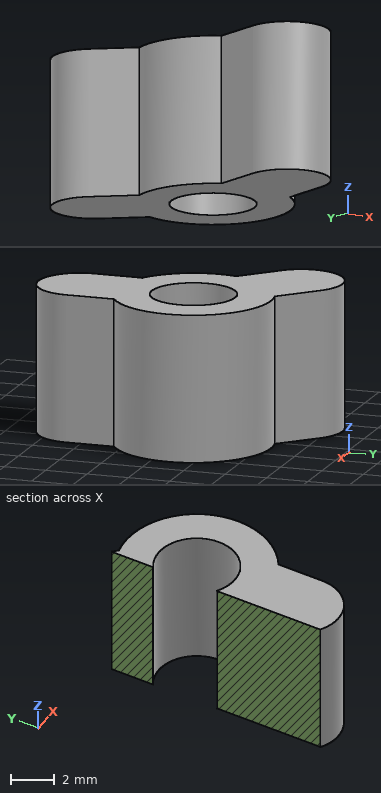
import cadquery as cq
import math

overall_length = 13.38
height = 7.0
hub_diameter = 7.49
bore_diameter = 4.0
arm_width = 4.0
lower_arm_angle = -90.0
upper_arm_angle = 135.0

rise_per_reach = math.sin(math.radians(upper_arm_angle)) - math.sin(math.radians(lower_arm_angle))
arm_reach = (overall_length - arm_width) / rise_per_reach


def make_arm(angle):
    """Round-ended arm running outward from the hub axis at the given angle."""
    straight = cq.Workplane("XY").center(arm_reach / 2, 0).rect(arm_reach, arm_width).extrude(height)
    round_end = cq.Workplane("XY").center(arm_reach, 0).circle(arm_width / 2).extrude(height)
    return straight.union(round_end).rotate((0, 0, 0), (0, 0, 1), angle)


body = cq.Workplane("XY").circle(hub_diameter / 2).extrude(height)
for arm_angle in (lower_arm_angle, upper_arm_angle):
    body = body.union(make_arm(arm_angle))

bore = cq.Workplane("XY").circle(bore_diameter / 2).extrude(height)
result = body.cut(bore)